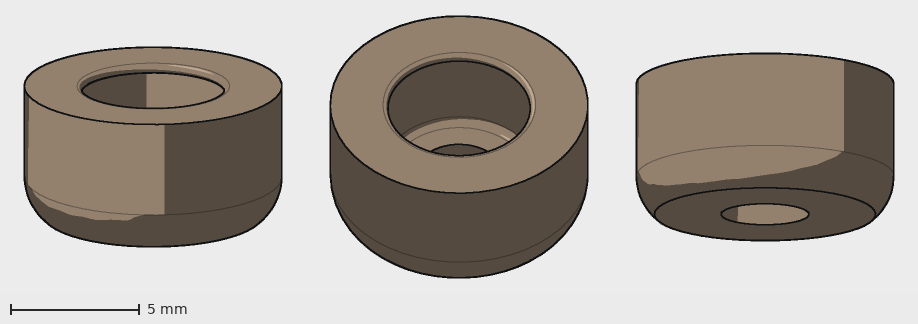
import cadquery as cq

outer_radius = 5.0
height = 5.2
lower_round_radius = 2.0
lower_round_height = 1.53

hole_radius = 1.7
bore_radius = 2.96
bore_floor_z = 1.47
floor_round = 0.3
lip_radius = 0.2

round_center_x = outer_radius - lower_round_radius


def lower_round_x(depth):
    """Radius of the body at a depth below the start of the lower round."""
    return round_center_x + (lower_round_radius**2 - depth**2) ** 0.5


bottom_radius = lower_round_x(lower_round_height)
round_middle = (lower_round_x(lower_round_height / 2), lower_round_height / 2)

body = (
    cq.Workplane("XZ")
    .lineTo(bottom_radius, 0)
    .threePointArc(round_middle, (outer_radius, lower_round_height))
    .lineTo(outer_radius, height)
    .lineTo(0, height)
    .close()
    .revolve(360, (0, 0), (0, 1))
)

lip_center_z = height - lip_radius
bore = (
    cq.Workplane("XZ")
    .moveTo(0, bore_floor_z)
    .lineTo(bore_radius - floor_round, bore_floor_z)
    .tangentArcPoint((bore_radius, bore_floor_z + floor_round), relative=False)
    .lineTo(bore_radius, lip_center_z - lip_radius)
    .threePointArc((bore_radius - lip_radius, lip_center_z), (bore_radius, height))
    .lineTo(0, height)
    .close()
    .revolve(360, (0, 0), (0, 1))
)

through_hole = cq.Workplane("XY").circle(hole_radius).extrude(height)

result = body.cut(bore).cut(through_hole)